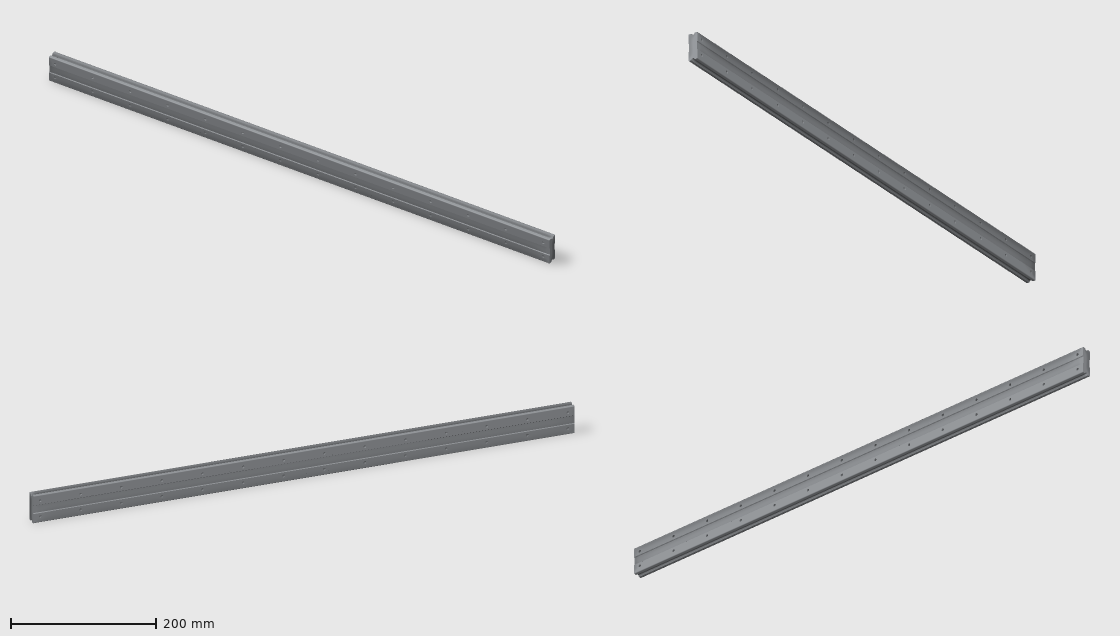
import cadquery as cq

length = 800.0
thickness = 15.0
height = 42.0
corner_radius = 1.2

side_groove_mouth = 13.0
side_groove_floor = 11.0
side_groove_depth = 1.2
edge_groove_mouth = 6.0
edge_groove_floor = 3.0
edge_groove_depth = 2.0

hole_diameter = 4.0
hole_pitch = 60.0
holes_per_row = 14
row_spacing = 24.0


def rail_blank():
    """Rectangular bar with its four long outer corners rounded."""
    bar = cq.Workplane("XY").box(length, thickness, height)
    return bar.edges("|X").fillet(corner_radius)


def groove_cutter(mouth, floor, depth):
    """Full-length trapezoidal bar, open upward, with its mouth at Z = 0."""
    return (
        cq.Workplane("YZ")
        .moveTo(-mouth / 2, 0)
        .lineTo(-floor / 2, -depth)
        .lineTo(floor / 2, -depth)
        .lineTo(mouth / 2, 0)
        .close()
        .extrude(length / 2, both=True)
    )


def cut_groove_pair(body, cutter, face_distance, first_angle):
    """Cut the same groove into two opposite faces, turning the cutter about X."""
    for angle in (first_angle, first_angle + 180):
        placed = cutter.translate((0, 0, face_distance)).rotate((0, 0, 0), (1, 0, 0), angle)
        body = body.cut(placed)
    return body


def cut_mounting_holes(body):
    """Two rows of evenly spaced holes straight through the thickness."""
    holes = (
        cq.Workplane("XZ")
        .rarray(hole_pitch, row_spacing, holes_per_row, 2)
        .circle(hole_diameter / 2)
        .extrude(thickness, both=True)
    )
    return body.cut(holes)


side_groove = groove_cutter(side_groove_mouth, side_groove_floor, side_groove_depth)
edge_groove = groove_cutter(edge_groove_mouth, edge_groove_floor, edge_groove_depth)

rail = rail_blank()
rail = cut_groove_pair(rail, side_groove, thickness / 2, 90)
rail = cut_groove_pair(rail, edge_groove, height / 2, 0)
result = cut_mounting_holes(rail)